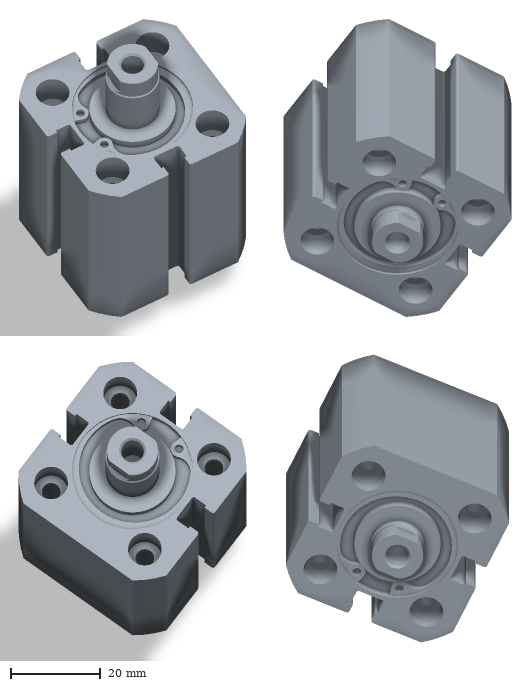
import cadquery as cq
import math

WIDTH = 41.0
HOUSING_LENGTH = 43.0
CORNER_SETBACK = 5.4
BORE_RADIUS = 13.5

BOLT_OFFSET = 13.0
BOLT_RADIUS = 2.1
COUNTERBORE_RADIUS = 3.8
COUNTERBORE_DEPTH = 7.0

SLOT_DEPTH = 6.1
SLOT_MOUTH_WIDTH = 5.4
SLOT_WIDTH = 6.6
SLOT_LIP = 2.55
SLOT_FLOOR_FILLET = 0.5
SLOT_MOUTH_FILLET = 0.6
SLOT_ANGLES = (0, -90, 180)

ROD_DIAMETER = 12.0
ROD_LENGTH = 65
ROD_ABOVE = 16.0
ROD_BELOW = ROD_LENGTH - HOUSING_LENGTH - ROD_ABOVE
TIP_RADIUS = 5.7
TIP_LENGTH = 4.95
TIP_CHAMFER = 0.1
FLAT_SPACING = 9.95
FLAT_LENGTH = 3.95
TAP_RADIUS = 2.55
TAP_MOUTH_RADIUS = 3.0
TAP_DEPTH = 12.0
DRILL_POINT_ANGLE = 118

COLLAR_RADIUS = 9.6
RECESS_DEPTH = 2.0
COVER_THICKNESS = 7.8

RING_TOP_DEPTH = 0.6
RING_THICKNESS = RECESS_DEPTH - RING_TOP_DEPTH
RING_RADIUS = 14.3
RING_INNER_RADIUS = 12.5
RING_INNER_SHIFT = 0.85
LUG_X = 5.2
LUG_Y = -10.45
LUG_RADIUS = 1.9
LUG_HOLE_RADIUS = 1.0
LUG_BLEND_RADIUS = 3.65

HALF_WIDTH = WIDTH / 2
HALF_LENGTH = HOUSING_LENGTH / 2
ROD_RADIUS = ROD_DIAMETER / 2


def mirror_to_bottom(body):
    """Copy a top-end body to the bottom end of the housing."""
    return body.mirror("XY", (0, 0, HALF_LENGTH))


def point_toward(start, end, distance):
    """Point at a distance from start along the line to end."""
    reach = math.dist(start, end)
    return tuple(a + (b - a) * distance / reach for a, b in zip(start, end))


def mirror_x(point):
    return (-point[0], point[1])


def make_block():
    corner_radius = math.hypot(HALF_WIDTH, HALF_WIDTH - CORNER_SETBACK)
    square = cq.Workplane("XY").rect(WIDTH, WIDTH).extrude(HOUSING_LENGTH)
    round_bar = cq.Workplane("XY").circle(corner_radius).extrude(HOUSING_LENGTH)
    return square.intersect(round_bar)


def make_slot(angle):
    """T-slot cutter that opens on the +X side, turned about Z."""
    floor = HALF_WIDTH - SLOT_DEPTH
    lip = HALF_WIDTH - SLOT_LIP
    half_mouth = SLOT_MOUTH_WIDTH / 2
    fillet_start = HALF_WIDTH - SLOT_MOUTH_FILLET
    flare = half_mouth + SLOT_MOUTH_FILLET
    fillet_sag = SLOT_MOUTH_FILLET * (1 - math.sqrt(0.5))
    fillet_middle = (HALF_WIDTH - fillet_sag, half_mouth + fillet_sag)
    channel = (
        cq.Workplane("XY")
        .center((floor + lip) / 2, 0)
        .rect(lip - floor, SLOT_WIDTH)
        .extrude(HOUSING_LENGTH)
        .edges("|Z and <X")
        .fillet(SLOT_FLOOR_FILLET)
    )
    mouth = (
        cq.Workplane("XY")
        .moveTo(lip, -half_mouth)
        .lineTo(fillet_start, -half_mouth)
        .threePointArc((fillet_middle[0], -fillet_middle[1]), (HALF_WIDTH, -flare))
        .lineTo(HALF_WIDTH, flare)
        .threePointArc(fillet_middle, (fillet_start, half_mouth))
        .lineTo(lip, half_mouth)
        .close()
        .extrude(HOUSING_LENGTH)
    )
    return channel.union(mouth).rotate((0, 0, 0), (0, 0, 1), angle)


def make_bolt_holes():
    spacing = 2 * BOLT_OFFSET
    holes = cq.Workplane("XY").rarray(spacing, spacing, 2, 2).circle(BOLT_RADIUS).extrude(HOUSING_LENGTH)
    for start in (0, HOUSING_LENGTH - COUNTERBORE_DEPTH):
        counterbores = (
            cq.Workplane("XY", origin=(0, 0, start))
            .rarray(spacing, spacing, 2, 2)
            .circle(COUNTERBORE_RADIUS)
            .extrude(COUNTERBORE_DEPTH)
        )
        holes = holes.union(counterbores)
    return holes


def make_housing(rings):
    housing = make_block().cut(cq.Workplane("XY").circle(BORE_RADIUS).extrude(HOUSING_LENGTH))
    for angle in SLOT_ANGLES:
        housing = housing.cut(make_slot(angle))
    housing = housing.cut(make_bolt_holes())
    for ring in rings:
        housing = housing.cut(ring)
    return housing


def make_flat_cutter():
    """Cutter for the +Y flat of a tip that ends at Z = 0; its floor slopes out at 45 degrees."""
    flat = FLAT_SPACING / 2
    outside = 2 * ROD_RADIUS
    return (
        cq.Workplane("YZ")
        .polyline([
            (flat, 0),
            (outside, 0),
            (outside, flat - outside - FLAT_LENGTH),
            (flat, -FLAT_LENGTH),
        ])
        .close()
        .extrude(ROD_RADIUS, both=True)
    )


def make_tapped_hole():
    """Drilled hole with a countersunk mouth at Z = 0."""
    countersink = TAP_MOUTH_RADIUS - TAP_RADIUS
    point = TAP_RADIUS / math.tan(math.radians(DRILL_POINT_ANGLE / 2))
    return (
        cq.Workplane("XZ")
        .polyline([
            (0, 0),
            (TAP_MOUTH_RADIUS, 0),
            (TAP_RADIUS, -countersink),
            (TAP_RADIUS, -TAP_DEPTH),
            (0, -TAP_DEPTH - point),
        ])
        .close()
        .revolve(360, (0, 0), (0, 1))
    )


def make_half_rod(length):
    """Rod from Z = -length up to its tip at Z = 0."""
    shoulder_chamfer = ROD_RADIUS - TIP_RADIUS
    half = (
        cq.Workplane("XZ")
        .polyline([
            (0, 0),
            (TIP_RADIUS - TIP_CHAMFER, 0),
            (TIP_RADIUS, -TIP_CHAMFER),
            (TIP_RADIUS, -TIP_LENGTH + shoulder_chamfer),
            (ROD_RADIUS, -TIP_LENGTH),
            (ROD_RADIUS, -length),
            (0, -length),
        ])
        .close()
        .revolve(360, (0, 0), (0, 1))
    )
    flat = make_flat_cutter()
    return half.cut(flat).cut(flat.mirror("XZ")).cut(make_tapped_hole())


def make_rod():
    top_z = HOUSING_LENGTH + ROD_ABOVE
    upper = make_half_rod(HALF_LENGTH + ROD_ABOVE).translate((0, 0, top_z))
    lower = make_half_rod(HALF_LENGTH + ROD_BELOW).mirror("XY").translate((0, 0, -ROD_BELOW))
    return upper.union(lower)


def make_cover():
    disc_top = HOUSING_LENGTH - RECESS_DEPTH
    disc = (
        cq.Workplane("XY", origin=(0, 0, disc_top - COVER_THICKNESS))
        .circle(BORE_RADIUS)
        .circle(ROD_RADIUS)
        .extrude(COVER_THICKNESS)
    )
    collar = (
        cq.Workplane("XY", origin=(0, 0, disc_top))
        .circle(COLLAR_RADIUS)
        .circle(ROD_RADIUS)
        .extrude(RECESS_DEPTH)
    )
    return disc.union(collar)


def blend_center(inner_center, lug_center):
    """Centre of the circle that touches the inner edge from inside and the lug from outside."""
    to_inner = RING_INNER_RADIUS - LUG_BLEND_RADIUS
    to_lug = LUG_RADIUS + LUG_BLEND_RADIUS
    spacing = math.dist(inner_center, lug_center)
    along = (to_inner**2 - to_lug**2 + spacing**2) / (2 * spacing)
    across = math.sqrt(to_inner**2 - along**2)
    unit_x = (lug_center[0] - inner_center[0]) / spacing
    unit_y = (lug_center[1] - inner_center[1]) / spacing
    return (
        inner_center[0] + along * unit_x - across * unit_y,
        inner_center[1] + along * unit_y + across * unit_x,
    )


def make_ring():
    inner_center = (0, -RING_INNER_SHIFT)
    lug_center = (LUG_X, LUG_Y)
    blend = blend_center(inner_center, lug_center)

    lug_distance = math.hypot(LUG_X, LUG_Y)
    gap_angle = math.atan2(LUG_X, -LUG_Y) - math.asin(LUG_RADIUS / lug_distance)
    radial = (math.sin(gap_angle), -math.cos(gap_angle))
    touch_distance = math.sqrt(lug_distance**2 - LUG_RADIUS**2)
    gap_outer = (RING_RADIUS * radial[0], RING_RADIUS * radial[1])
    gap_inner = (touch_distance * radial[0], touch_distance * radial[1])

    lug_middle = point_toward(lug_center, (0, 0), LUG_RADIUS)
    lug_end = point_toward(lug_center, blend, LUG_RADIUS)
    blend_end = point_toward(inner_center, blend, RING_INNER_RADIUS)
    blend_chord_middle = ((lug_end[0] + blend_end[0]) / 2, (lug_end[1] + blend_end[1]) / 2)
    blend_middle = point_toward(blend, blend_chord_middle, LUG_BLEND_RADIUS)
    inner_top = (0, RING_INNER_RADIUS - RING_INNER_SHIFT)

    return (
        cq.Workplane("XY", origin=(0, 0, HOUSING_LENGTH - RECESS_DEPTH))
        .moveTo(*gap_outer)
        .lineTo(*gap_inner)
        .threePointArc(lug_middle, lug_end)
        .threePointArc(blend_middle, blend_end)
        .threePointArc(inner_top, mirror_x(blend_end))
        .threePointArc(mirror_x(blend_middle), mirror_x(lug_end))
        .threePointArc(mirror_x(lug_middle), mirror_x(gap_inner))
        .lineTo(*mirror_x(gap_outer))
        .threePointArc((0, RING_RADIUS), gap_outer)
        .close()
        .pushPoints([lug_center, mirror_x(lug_center)])
        .circle(LUG_HOLE_RADIUS)
        .extrude(RING_THICKNESS)
    )


top_ring = make_ring()
rings = [top_ring, mirror_to_bottom(top_ring)]
top_cover = make_cover()
covers = [top_cover, mirror_to_bottom(top_cover)]
housing = make_housing(rings)
rod = make_rod()

result = cq.Compound.makeCompound([
    housing.val(),
    rod.val(),
    *[cover.val() for cover in covers],
    *[ring.val() for ring in rings],
])